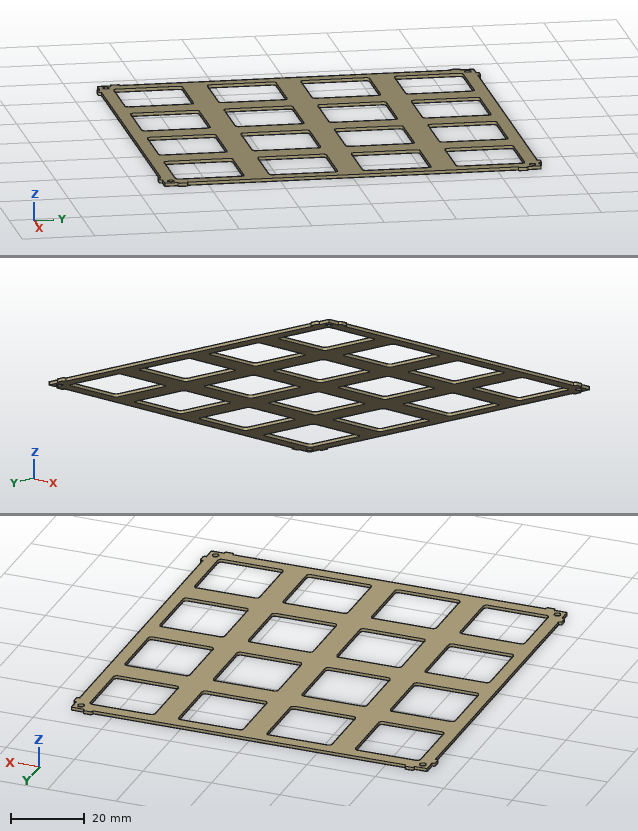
import cadquery as cq

plate_size = 104.0
thickness = 0.91

windows_per_side = 4
window_pitch = 25.85
window_size = 18.95
window_corner_radius = 1.0

hole_diameter = 1.75
hole_inset = 2.05

overall_size = 105.6
tab_width = 2.6
tab_corner_radius = 0.5
tab_center_inset = 5.0


def make_plate():
    return cq.Workplane("XY").box(plate_size, plate_size, thickness)


def make_tab_bar(offset):
    """Bar as long as the whole part, so both rounded ends stick out of the plate as tabs."""
    bar = cq.Workplane("XY").box(tab_width, overall_size, thickness)
    return bar.edges("|Z").fillet(tab_corner_radius).translate((offset, 0, 0))


def add_tabs(plate):
    tab_offset = plate_size / 2 - tab_center_inset
    for offset in (-tab_offset, tab_offset):
        bar = make_tab_bar(offset)
        crosswise_bar = bar.rotate((0, 0, 0), (0, 0, 1), 90)
        plate = plate.union(bar).union(crosswise_bar)
    return plate.clean()


def cut_windows(plate):
    windows = (
        cq.Workplane("XY")
        .rarray(window_pitch, window_pitch, windows_per_side, windows_per_side)
        .rect(window_size, window_size)
        .extrude(thickness, both=True)
        .edges("|Z")
        .fillet(window_corner_radius)
    )
    return plate.cut(windows)


def drill_corner_holes(plate):
    hole_spacing = plate_size - 2 * hole_inset
    holes = (
        cq.Workplane("XY")
        .rarray(hole_spacing, hole_spacing, 2, 2)
        .circle(hole_diameter / 2)
        .extrude(thickness, both=True)
    )
    return plate.cut(holes)


tabbed_plate = add_tabs(make_plate())
windowed_plate = cut_windows(tabbed_plate)
result = drill_corner_holes(windowed_plate)